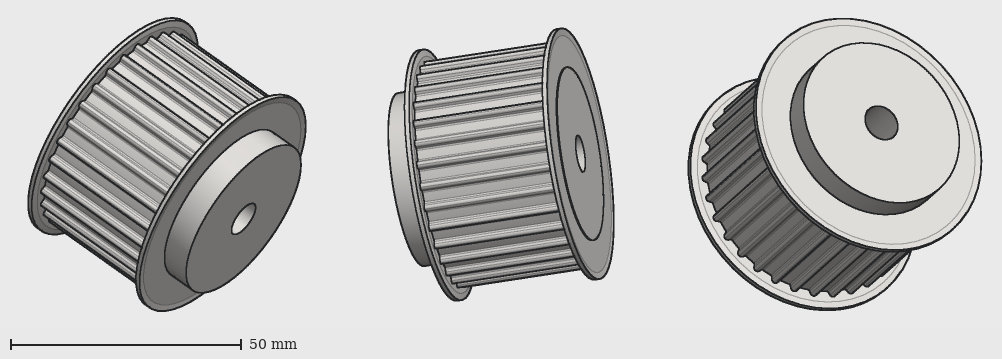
import cadquery as cq
import math


flange_diameter = 55.0
total_length = 38.0
hub_length = 6.0
hub_diameter = 38.0
bore_diameter = 8.0

flange_thickness = 1.05
flange_bend = 0.2
flange_flat_diameter = 52.0

tooth_count = 32
tip_radius = 24.85
groove_depth = 1.3
groove_bottom_width = 2.6
flank_angle = math.radians(25)
root_fillet = 0.4
tip_fillet = 0.75
corner_tolerance = 0.005

pulley_length = total_length - hub_length
flange_radius = flange_diameter / 2
flange_flat_radius = flange_flat_diameter / 2
hub_radius = hub_diameter / 2
flange_inner_x = flange_bend + flange_thickness
root_radius = tip_radius - groove_depth
pitch_angle = 2 * math.pi / tooth_count

root_half_angle = math.asin(groove_bottom_width / 2 / root_radius)
flank_offset = root_radius * math.sin(flank_angle - root_half_angle)
tip_half_angle = flank_angle - math.asin(flank_offset / tip_radius)


def polar(radius, angle):
    return (radius * math.cos(angle), radius * math.sin(angle))


def toothed_body():
    """Toothed cylinder between the flanges, with a groove centred on the Y axis."""
    outline = cq.Workplane("YZ", origin=(flange_inner_x, 0, 0))
    outline = outline.moveTo(*polar(root_radius, -root_half_angle))
    for index in range(tooth_count):
        groove = index * pitch_angle
        outline = outline.threePointArc(
            polar(root_radius, groove), polar(root_radius, groove + root_half_angle)
        )
        outline = outline.lineTo(*polar(tip_radius, groove + tip_half_angle))
        outline = outline.threePointArc(
            polar(tip_radius, groove + pitch_angle / 2),
            polar(tip_radius, groove + pitch_angle - tip_half_angle),
        )
        if index < tooth_count - 1:
            outline = outline.lineTo(*polar(root_radius, groove + pitch_angle - root_half_angle))
    body = outline.close().extrude(pulley_length - 2 * flange_inner_x)

    def corner_edges(solid, radius):
        def at_radius(edge):
            center = edge.Center()
            return abs(math.hypot(center.y, center.z) - radius) < corner_tolerance

        return [edge for edge in solid.Edges() if edge.geomType() == "LINE" and at_radius(edge)]

    solid = body.val()
    solid = solid.fillet(root_fillet, corner_edges(solid, root_radius))
    solid = solid.fillet(tip_fillet, corner_edges(solid, tip_radius))
    return cq.Workplane(solid)


def flange():
    """Flange at the free end: flat disc with a conical rim bent towards -X."""
    profile = [
        (flange_bend, 0),
        (flange_bend, flange_flat_radius),
        (0, flange_radius),
        (flange_thickness, flange_radius),
        (flange_inner_x, flange_flat_radius),
        (flange_inner_x, 0),
    ]
    return cq.Workplane("XY").polyline(profile).close().revolve(360, (0, 0, 0), (1, 0, 0))


free_end_flange = flange()
hub_end_flange = free_end_flange.mirror("YZ").translate((pulley_length, 0, 0))
core = cq.Workplane("YZ").circle(hub_radius).extrude(total_length)
bore = cq.Workplane("YZ").circle(bore_diameter / 2).extrude(total_length)

result = toothed_body().union(free_end_flange).union(hub_end_flange).union(core).cut(bore)